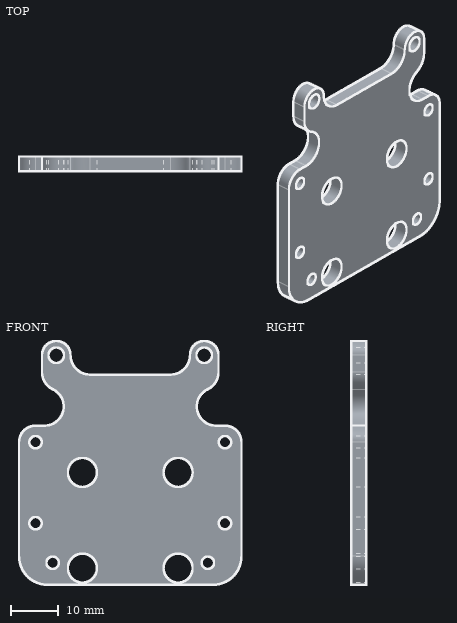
import cadquery as cq
import math

width = 46.5
height = 51.0
thickness = 3.15
half_width = width / 2

shoulder_z = 33.3
bottom_corner_radius = 6.0
shoulder_radius = 3.45

ear_radius = 3.0
ear_x = 15.45
ear_z = height - ear_radius
ear_outer_x = ear_x + ear_radius
ear_inner_x = ear_x - ear_radius
deck_z = 43.95
deck_fillet_radius = ear_z - deck_z
neck_radius = 4.0
neck_x = 17.9
neck_z = shoulder_z + neck_radius
bend_radius = 4.0

ear_hole_diameter = 3.2
small_hole_diameter = 2.55
large_hole_diameter = 6.0
side_hole_x = half_width - shoulder_radius
side_hole_z = (shoulder_z - shoulder_radius, 12.9)
lower_hole_x = 16.2
lower_hole_z = 4.65
large_hole_spacing = 20.0
large_hole_bottom_z = 3.5

bend_x = ear_outer_x - bend_radius
center_distance = neck_radius + bend_radius
bend_z = neck_z + math.sqrt(center_distance**2 - (neck_x - bend_x) ** 2)
blend_fraction = neck_radius / center_distance
blend_x = neck_x + blend_fraction * (bend_x - neck_x)
blend_z = neck_z + blend_fraction * (bend_z - neck_z)


def arc_point(center_x, center_z, radius, angle):
    """Point on a circle, with the angle in degrees from +X toward +Z."""
    turn = math.radians(angle)
    return (center_x + radius * math.cos(turn), center_z + radius * math.sin(turn))


def make_half_plate():
    """Build the +X half of the plate, starting from the bottom center."""
    corner_x = half_width - bottom_corner_radius
    shoulder_x = half_width - shoulder_radius
    shoulder_center_z = shoulder_z - shoulder_radius
    fillet_x = ear_inner_x - deck_fillet_radius
    bend_end_angle = math.degrees(math.atan2(neck_z - bend_z, neck_x - bend_x))
    return (
        cq.Workplane("XZ")
        .lineTo(corner_x, 0)
        .threePointArc(
            arc_point(corner_x, bottom_corner_radius, bottom_corner_radius, -45),
            (half_width, bottom_corner_radius),
        )
        .lineTo(half_width, shoulder_center_z)
        .threePointArc(
            arc_point(shoulder_x, shoulder_center_z, shoulder_radius, 45),
            (shoulder_x, shoulder_z),
        )
        .lineTo(neck_x, shoulder_z)
        .threePointArc((neck_x - neck_radius, neck_z), (blend_x, blend_z))
        .threePointArc(
            arc_point(bend_x, bend_z, bend_radius, bend_end_angle / 2),
            (ear_outer_x, bend_z),
        )
        .lineTo(ear_outer_x, ear_z)
        .threePointArc((ear_x, height), (ear_inner_x, ear_z))
        .threePointArc(
            arc_point(fillet_x, ear_z, deck_fillet_radius, -45),
            (fillet_x, deck_z),
        )
        .lineTo(0, deck_z)
        .close()
        .extrude(thickness)
    )


def drill_pair(body, x, z, diameter):
    """Cut two through holes, mirrored about X = 0."""
    drills = (
        cq.Workplane("XZ")
        .pushPoints([(-x, z), (x, z)])
        .circle(diameter / 2)
        .extrude(thickness)
    )
    return body.cut(drills)


half_plate = make_half_plate()
plate = half_plate.union(half_plate.mirror("YZ")).clean()

plate = drill_pair(plate, ear_x, ear_z, ear_hole_diameter)
for hole_z in side_hole_z:
    plate = drill_pair(plate, side_hole_x, hole_z, small_hole_diameter)
plate = drill_pair(plate, lower_hole_x, lower_hole_z, small_hole_diameter)
for hole_z in (large_hole_bottom_z, large_hole_bottom_z + large_hole_spacing):
    plate = drill_pair(plate, large_hole_spacing / 2, hole_z, large_hole_diameter)

result = plate